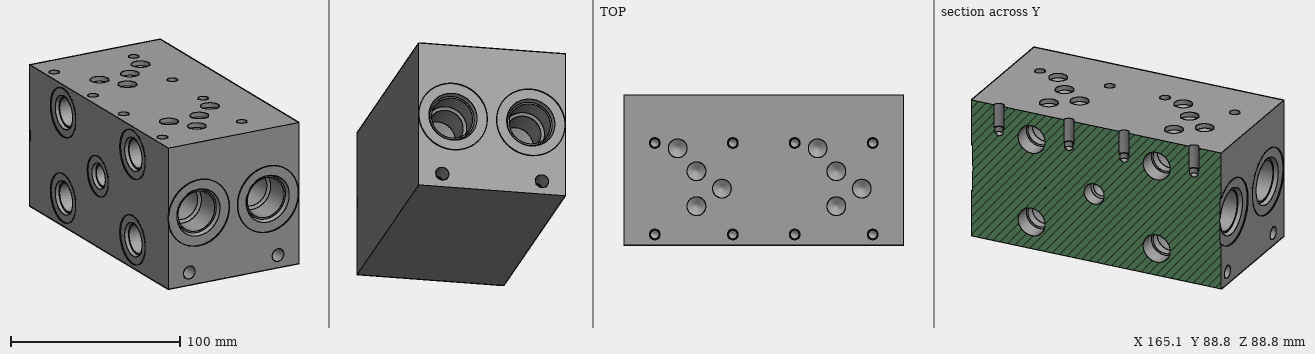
import cadquery as cq
import math

length = 165.1
width = 88.8
height = 88.8

top_face = height / 2
front_face = -width / 2
end_face = length / 2

drill_point_angle = 118.0


def cone_depth(wide_diameter, narrow_diameter=0.0):
    """Axial length of a drill-point cone between two diameters."""
    step = (wide_diameter - narrow_diameter) / 2
    return step / math.tan(math.radians(drill_point_angle / 2))


def revolved_cutter(profile):
    """Solid of revolution about Z from (radius, height) points, open towards +Z."""
    return cq.Workplane("XZ").polyline(profile).close().revolve(360, (0, 0, 0), (0, 1, 0))


def port_cutter(spotface, mouth, seat, tap_drill, passage,
                spotface_depth, seat_depth, tap_depth, passage_depth):
    """Spotfaced O-ring port: tapered seat, tap drill and a pointed passage."""
    seat_end = spotface_depth + seat_depth
    passage_start = tap_depth + cone_depth(tap_drill, passage)
    tip = passage_depth + cone_depth(passage)
    return revolved_cutter([
        (0, 0),
        (spotface / 2, 0),
        (spotface / 2, -spotface_depth),
        (mouth / 2, -spotface_depth),
        (seat / 2, -seat_end),
        (tap_drill / 2, -seat_end),
        (tap_drill / 2, -tap_depth),
        (passage / 2, -passage_start),
        (passage / 2, -passage_depth),
        (0, -tip),
    ])


def tapped_cutter(thread, tap_drill, thread_depth, tap_depth):
    """Blind tapped hole with a drill-point bottom."""
    tip = tap_depth + cone_depth(tap_drill)
    return revolved_cutter([
        (0, 0),
        (thread / 2, 0),
        (thread / 2, -thread_depth),
        (tap_drill / 2, -thread_depth),
        (tap_drill / 2, -tap_depth),
        (0, -tip),
    ])


def drilled_cutter(diameter, depth):
    """Plain blind hole with a drill-point bottom."""
    tip = depth + cone_depth(diameter)
    return revolved_cutter([(0, 0), (diameter / 2, 0), (diameter / 2, -depth), (0, -tip)])


def on_top(cutter, x, y):
    return cutter.translate((x, y, top_face))


def on_front(cutter, x, z):
    """Turn the open end to -Y and place it on the front face."""
    return cutter.rotate((0, 0, 0), (1, 0, 0), 90).translate((x, front_face, z))


def on_end(cutter, side, y, z):
    """Turn the open end to -X or +X (side = -1 or 1) and place it on that end."""
    return cutter.rotate((0, 0, 0), (0, 1, 0), side * 90).translate((side * end_face, y, z))


block = cq.Workplane("XY").box(length, width, height)

valve_spacing = 82.5
bolt_span_x = 46.0
bolt_span_y = 54.0
bolt_edge_distance = 6.5
valve_bolt = tapped_cutter(thread=6.3, tap_drill=5.1, thread_depth=14.9, tap_depth=18.2)
valve_passage = drilled_cutter(diameter=11.0, depth=3.0)

passage_offsets = [(24.6, 16.7), (39.6, 27.0), (24.6, 37.3), (13.5, 50.9)]

bolt_front_y = front_face + bolt_edge_distance
for valve_x in (-valve_spacing / 2, valve_spacing / 2):
    bolt_left_x = valve_x - bolt_span_x / 2
    for dx in (0, bolt_span_x):
        for dy in (0, bolt_span_y):
            block = block.cut(on_top(valve_bolt, bolt_left_x + dx, bolt_front_y + dy))
    for dx, dy in passage_offsets:
        block = block.cut(on_top(valve_passage, bolt_left_x + dx, bolt_front_y + dy))

spotface_depth = 0.7
front_port_x = -1.5
work_port_spacing_z = 53.7
work_port = port_cutter(
    spotface=30.2, mouth=20.6, seat=19.0, tap_drill=17.5, passage=15.8,
    spotface_depth=spotface_depth, seat_depth=2.1, tap_depth=17.0,
    passage_depth=23.1)
centre_port = port_cutter(
    spotface=25.0, mouth=15.8, seat=14.4, tap_drill=12.9, passage=10.2,
    spotface_depth=spotface_depth, seat_depth=2.1, tap_depth=15.0,
    passage_depth=23.1)

for dx in (-valve_spacing / 2, valve_spacing / 2):
    for z in (-work_port_spacing_z / 2, work_port_spacing_z / 2):
        block = block.cut(on_front(work_port, front_port_x + dx, z))
block = block.cut(on_front(centre_port, front_port_x, 0))

main_port_spacing = 47.0
mount_spacing = 60.3
mount_height = 8.1
main_port = port_cutter(
    spotface=41.5, mouth=29.2, seat=26.9, tap_drill=25.0, passage=21.1,
    spotface_depth=spotface_depth, seat_depth=2.5, tap_depth=19.0,
    passage_depth=41.3)
mount_hole = tapped_cutter(thread=8.0, tap_drill=6.6, thread_depth=15.8, tap_depth=19.8)

mount_z = -height / 2 + mount_height
for end in (-1, 1):
    for side in (-1, 1):
        block = block.cut(on_end(main_port, end, side * main_port_spacing / 2, 0))
        block = block.cut(on_end(mount_hole, end, side * mount_spacing / 2, mount_z))

result = block